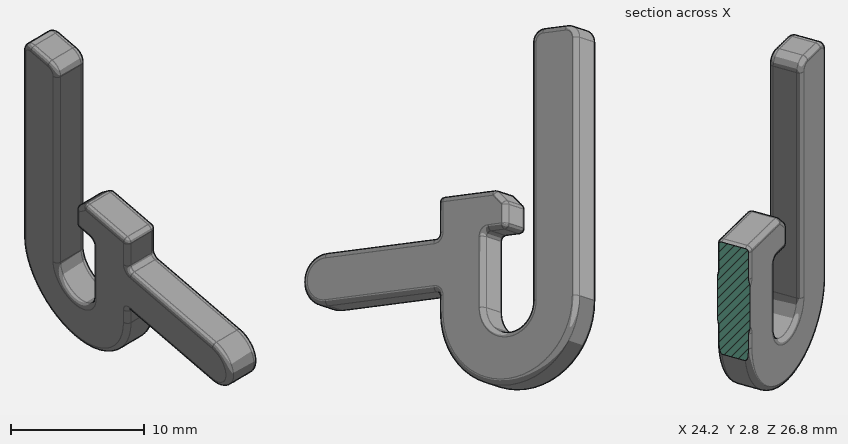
import cadquery as cq

height = 26.82
length = 24.22
thickness = 2.8

limb_width = 4.0
bend_inner_radius = 2.12
bend_outer_radius = bend_inner_radius + limb_width
arm_radius = limb_width / 2

bar_top = height - bend_outer_radius
arm_tip = length - bend_outer_radius
arm_level = 3.7
arm_top = arm_level + arm_radius
arm_bottom = arm_level - arm_radius
arm_cap_start = arm_tip - arm_radius
post_top = 8.82

catch_reach = 1.98
catch_height = 3.0
catch_bottom = post_top - catch_height
catch_tip = bend_inner_radius - catch_reach
catch_chamfer = 1.0

bar_corner_radius = 1.0
edge_radius = 0.4

outline = (
    cq.Workplane("XZ")
    .moveTo(-bend_outer_radius, 0)
    .lineTo(-bend_outer_radius, bar_top)
    .lineTo(-bend_inner_radius, bar_top)
    .lineTo(-bend_inner_radius, 0)
    .threePointArc((0, -bend_inner_radius), (bend_inner_radius, 0))
    .lineTo(bend_inner_radius, catch_bottom)
    .lineTo(catch_tip, catch_bottom)
    .lineTo(catch_tip, post_top - catch_chamfer)
    .lineTo(catch_tip + catch_chamfer, post_top)
    .lineTo(bend_outer_radius, post_top)
    .lineTo(bend_outer_radius, arm_top)
    .lineTo(arm_cap_start, arm_top)
    .threePointArc((arm_tip, arm_level), (arm_cap_start, arm_bottom))
    .lineTo(bend_outer_radius, arm_bottom)
    .lineTo(bend_outer_radius, 0)
    .threePointArc((0, -bend_outer_radius), (-bend_outer_radius, 0))
    .close()
)
body = outline.extrude(thickness / 2, both=True)

body = body.faces(">Z").edges("|Y").fillet(bar_corner_radius)


def corner_edges(solid, places):
    """Select the edges along Y that pass through the given (x, z) places."""
    selected = cq.Workplane("XY")
    for x, z in places:
        selected = selected.add(solid.edges("|Y").edges(cq.NearestToPointSelector((x, 0, z))))
    return selected.vals()


sharp_corners = corner_edges(body, [
    (bend_inner_radius, catch_bottom),
    (catch_tip, catch_bottom),
    (catch_tip, post_top - catch_chamfer),
    (catch_tip + catch_chamfer, post_top),
    (bend_outer_radius, post_top),
    (bend_outer_radius, arm_top),
    (bend_outer_radius, arm_bottom),
])
body = body.newObject(sharp_corners).fillet(edge_radius)

result = body.faces("<Y or >Y").edges().fillet(edge_radius)